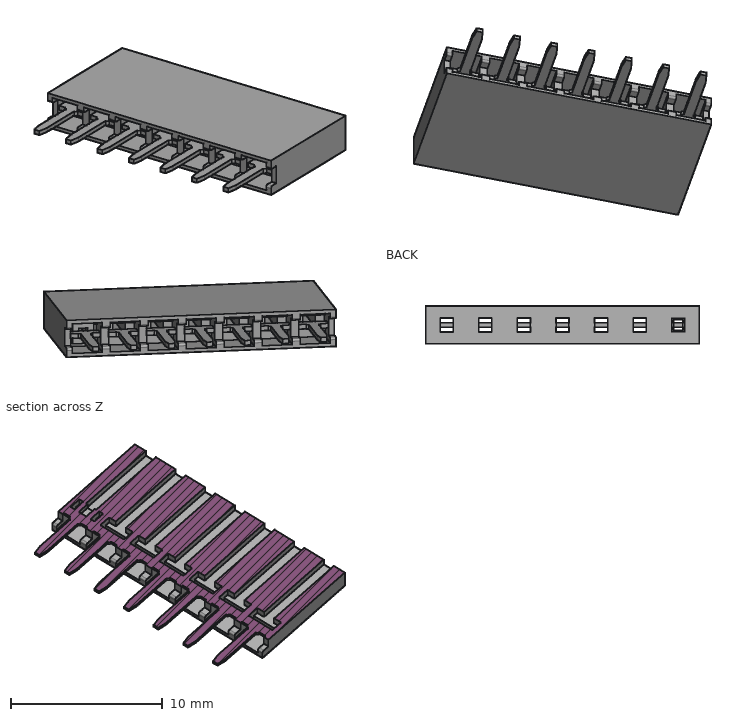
import cadquery as cq

housing_length = 18.03
housing_depth = 8.51
housing_height = 2.5

contact_count = 7
pitch = 2.55
contact_xs = [(i - (contact_count - 1) / 2) * pitch for i in range(contact_count)]

cavity_size = 2.0
cavity_depth = 1.98

slot_height = 1.25
slot_depth = 0.61
slot_mouth_radius = 0.15

step_depth = 0.36
window_width = 0.85
window_height = 0.9

plate_thickness = 0.3
plate_setback = 0.75
plate_depth = 0.72
pin_width = 0.65
pin_tip_width = 0.41
pin_length = 3.2
pin_taper_length = 0.65
pin_root_radius = 0.16

collar_size = 1.4
collar_opening_width = 0.61
collar_opening_height = 0.67

front_y = 0.0
cavity_floor_y = front_y + cavity_depth
plate_front_y = front_y + plate_setback
plate_back_y = plate_front_y + plate_depth
step_floor_y = cavity_floor_y + step_depth


def block(width, height, y_start, y_end, x=0.0):
    """Block centred on the mid-plane, spanning y_start to y_end."""
    return (
        cq.Workplane("XY")
        .box(width, y_end - y_start, height)
        .translate((x, (y_start + y_end) / 2, 0))
    )


def make_housing():
    """Block with the lengthwise slot across its front face."""
    body = block(housing_length, housing_height, front_y, housing_depth)
    body = body.cut(block(housing_length, slot_height, front_y, slot_depth))
    corner = cq.Vector(housing_length, slot_depth / 2, (slot_height + slot_mouth_radius) / 2)
    mouth = cq.selectors.BoxSelector((-corner).toTuple(), corner.toTuple())
    return body.edges("|X").edges(mouth).fillet(slot_mouth_radius)


def make_cavity(x):
    """Square cavity with a stepped floor and an opening through to the back face."""
    cavity = block(cavity_size, cavity_size, front_y, cavity_floor_y, x)
    step = block(cavity_size, window_height, cavity_floor_y, step_floor_y, x)
    window = block(window_width, window_height, step_floor_y, housing_depth, x)
    return cavity.union(step).union(window)


def make_contact(x):
    """Flat plate across the cavity with a tapered pin rooted in fillets."""
    half_pin = pin_width / 2
    tip_y = front_y - pin_length
    taper_y = tip_y + pin_taper_length
    half_root = half_pin + pin_root_radius
    outline = (
        cq.Workplane("XY")
        .moveTo(-pin_tip_width / 2, tip_y)
        .lineTo(pin_tip_width / 2, tip_y)
        .lineTo(half_pin, taper_y)
        .lineTo(half_pin, plate_front_y - pin_root_radius)
        .radiusArc((half_root, plate_front_y), -pin_root_radius)
        .lineTo(cavity_size / 2, plate_front_y)
        .lineTo(cavity_size / 2, plate_back_y)
        .lineTo(-cavity_size / 2, plate_back_y)
        .lineTo(-cavity_size / 2, plate_front_y)
        .lineTo(-half_root, plate_front_y)
        .radiusArc((-half_pin, plate_front_y - pin_root_radius), -pin_root_radius)
        .lineTo(-half_pin, taper_y)
        .close()
    )
    return outline.extrude(plate_thickness / 2, both=True).translate((x, 0, 0))


def make_collar(x):
    """Square collar with a small opening, standing behind the plate."""
    collar = block(collar_size, collar_size, plate_back_y, step_floor_y, x)
    opening = block(collar_opening_width, collar_opening_height, plate_back_y, step_floor_y, x)
    return collar.cut(opening)


result = make_housing()
for contact_x in contact_xs:
    result = result.cut(make_cavity(contact_x)).union(make_contact(contact_x))
result = result.union(make_collar(contact_xs[0]))